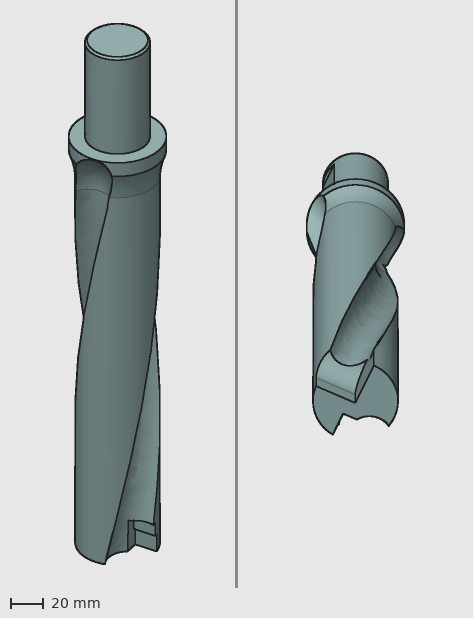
import cadquery as cq
import math

total_length = 367.5
body_radius = 26.0
flange_diameter = 60.0
flange_radius = flange_diameter / 2
shank_diameter = 40.0
shank_radius = shank_diameter / 2
shank_length = 70.2
shank_chamfer = 1.5

rim_height = 10.0
neck_height = 18.0
neck_bulge = 0.7
flange_top = total_length - shank_length
rim_bottom = flange_top - rim_height
neck_bottom = rim_bottom - neck_height

flat_depth = 2.0
flat_end_land = 7.7

flute_radius = 14.5
flute_centre_radius = 25.7
flute_start_angle = 136.0
flute_length = 261.0
flute_twist = 119.3
runout_bend_radius = 25.7
runout_drift = 50.0
runout_sweep = 90.0

inner_floor_x = 1.0
inner_wall_y = -0.5
inner_seat_height = 14.5
inner_relief_radius = 18.5

outer_floor_x = 10.5
outer_wall_y = 1.5
outer_pocket_height = 21.7
outer_seat_height = 12.5
outer_seat_depth = 2.0

overcut = 2 * body_radius


def turned_blank():
    """Body, flange and shank as one revolved profile."""
    neck_mid = (
        (body_radius + flange_radius) / 2 - neck_bulge,
        (neck_bottom + rim_bottom) / 2,
    )
    return (
        cq.Workplane("XZ")
        .moveTo(0, 0)
        .lineTo(body_radius, 0)
        .lineTo(body_radius, neck_bottom)
        .threePointArc(neck_mid, (flange_radius, rim_bottom))
        .lineTo(flange_radius, flange_top)
        .lineTo(shank_radius, flange_top)
        .lineTo(shank_radius, total_length - shank_chamfer)
        .lineTo(shank_radius - shank_chamfer, total_length)
        .lineTo(0, total_length)
        .close()
        .revolve(360, (0, 0, 0), (0, 1, 0))
    )


def clamping_flat():
    """Cutter for the flat between two full-round lands of the shank."""
    length = shank_length - 2 * flat_end_land
    return (
        cq.Workplane("XY")
        .workplane(offset=flange_top + flat_end_land)
        .center(0, shank_radius)
        .rect(2 * shank_radius, 2 * flat_depth)
        .extrude(length)
    )


def flute(start_angle):
    """Helical groove cutter, starting at the tip at the given angle about Z."""
    start = math.radians(start_angle)
    return (
        cq.Workplane("XY")
        .moveTo(flute_centre_radius * math.cos(start), flute_centre_radius * math.sin(start))
        .circle(flute_radius)
        .twistExtrude(flute_length, flute_twist)
    )


def flute_runout(start_angle):
    """Bent round cutter that continues a flute and lifts it sideways out of the flange."""
    end_angle = start_angle + flute_twist
    end = math.radians(end_angle)
    exit_direction = math.radians(end_angle + runout_drift)
    section = cq.Plane(
        origin=(flute_centre_radius * math.cos(end), flute_centre_radius * math.sin(end), flute_length),
        xDir=(math.cos(exit_direction), math.sin(exit_direction), 0),
        normal=(0, 0, 1),
    )
    return (
        cq.Workplane(section)
        .circle(flute_radius)
        .revolve(runout_sweep, (runout_bend_radius, 0, 0), (runout_bend_radius, 1, 0))
    )


def inner_pocket():
    """Quarter cut reaching just past the drill axis, its floor curving out to -X above the seat."""
    arc_end = (inner_floor_x - inner_relief_radius, inner_seat_height + inner_relief_radius)
    arc_lift = inner_relief_radius * math.sqrt(0.5)
    arc_mid = (arc_end[0] + arc_lift, inner_seat_height + arc_lift)
    return (
        cq.Workplane("XZ", origin=(0, inner_wall_y, 0))
        .moveTo(inner_floor_x, 0)
        .lineTo(inner_floor_x, inner_seat_height)
        .threePointArc(arc_mid, arc_end)
        .lineTo(-overcut, arc_end[1])
        .lineTo(-overcut, 0)
        .close()
        .extrude(-overcut)
    )


def outer_pocket_step(height, wall_y):
    """Box cut open to +X and -Y, from the tip up to the given height."""
    return (
        cq.Workplane("XY")
        .moveTo(outer_floor_x, wall_y)
        .lineTo(overcut, wall_y)
        .lineTo(overcut, -overcut)
        .lineTo(outer_floor_x, -overcut)
        .close()
        .extrude(height)
    )


result = turned_blank().cut(clamping_flat())
for start_angle in (flute_start_angle, flute_start_angle + 180):
    result = result.cut(flute(start_angle)).cut(flute_runout(start_angle))
result = result.cut(inner_pocket())
result = result.cut(outer_pocket_step(outer_pocket_height, outer_wall_y))
result = result.cut(outer_pocket_step(outer_seat_height, outer_wall_y + outer_seat_depth))